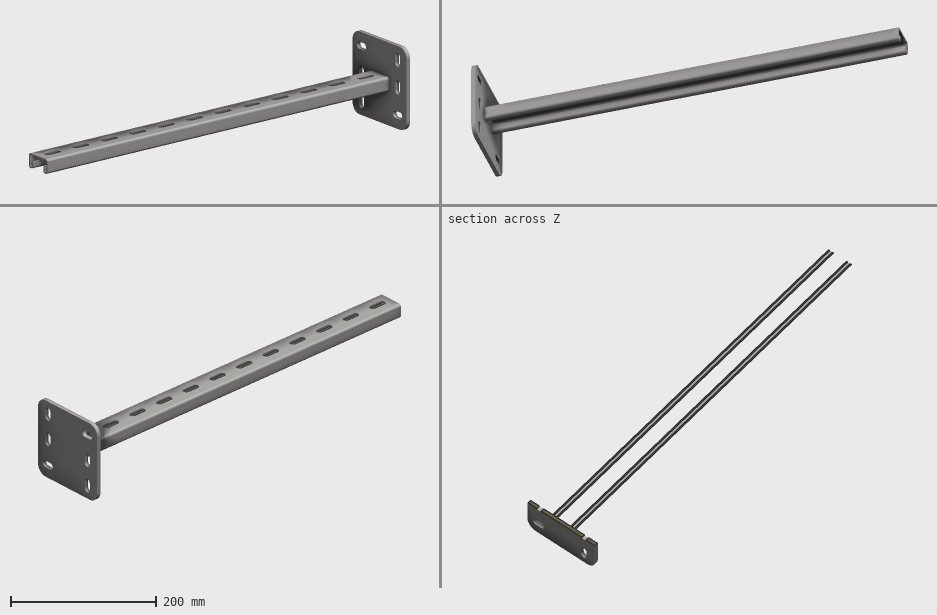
import cadquery as cq

total_length = 606.0

plate_size = 120.0
plate_thickness = 6.0
plate_corner_radius = 15.0
plate_slot_length = 20.0
plate_slot_width = 10.0
plate_slot_offset = 40.0

channel_width = 41.0
channel_height = 21.0
channel_drop = 0.5
sheet_thickness = 2.5
outer_bend_radius = 3.5
opening_width = 22.5
lip_height = 10.0

channel_slot_count = 12
channel_slot_length = 27.0
channel_slot_width = 10.0

channel_length = total_length - plate_thickness
channel_slot_pitch = channel_length / channel_slot_count
free_end = -total_length / 2
plate_front = free_end + channel_length
channel_top = channel_height / 2 - channel_drop
channel_bottom = channel_top - channel_height
lip_width = (channel_width - opening_width) / 2
inner_bend_radius = outer_bend_radius - sheet_thickness


def box_between(x_range, z_range):
    """Box over the channel length, spanning the given (low, high) pairs in X and Z."""
    width = x_range[1] - x_range[0]
    height = z_range[1] - z_range[0]
    corner = (x_range[0], free_end, z_range[0])
    return cq.Workplane("XY").box(width, channel_length, height, centered=False).translate(corner)


def bent_tube(x_range, z_range):
    """Closed tube of bent sheet with rounded corners, given its outer X and Z spans."""
    outside = box_between(x_range, z_range).edges("|Y").fillet(outer_bend_radius)
    inside = box_between(
        (x_range[0] + sheet_thickness, x_range[1] - sheet_thickness),
        (z_range[0] + sheet_thickness, z_range[1] - sheet_thickness),
    )
    return outside.cut(inside.edges("|Y").fillet(inner_bend_radius))


def make_plate():
    """Square plate with rounded corners and six slots, two of them lying flat."""
    plate = (
        cq.Workplane("XY")
        .box(plate_size, plate_thickness, plate_size)
        .edges("|Y")
        .fillet(plate_corner_radius)
    )
    slot_centres = [(side, row) for side in (-1, 1) for row in (-1, 0, 1)]
    for side, row in slot_centres:
        angle = 0 if side * row == -1 else 90
        slot = (
            cq.Workplane("XZ")
            .center(side * plate_slot_offset, row * plate_slot_offset)
            .slot2D(plate_slot_length, plate_slot_width, angle)
            .extrude(plate_thickness, both=True)
        )
        plate = plate.cut(slot)
    return plate.translate((0, plate_front + plate_thickness / 2, 0))


def make_channel():
    """Channel open at the bottom, its edges turned inwards and then upwards as lips."""
    half_width = channel_width / 2
    full_x = (-half_width, half_width)
    full_z = (channel_bottom, channel_top)

    below_walls = box_between(full_x, (channel_bottom, channel_bottom + outer_bend_radius))
    channel = bent_tube(full_x, full_z).cut(below_walls)

    above_lips = box_between(full_x, (channel_bottom + lip_height, channel_top))
    for fold_x in ((-half_width, lip_width - half_width), (half_width - lip_width, half_width)):
        channel = channel.union(bent_tube(fold_x, full_z).cut(above_lips))
    return channel


def cut_channel_slots(channel):
    """Row of lengthwise slots through the web, half a pitch in from the free end."""
    first_slot = free_end + channel_slot_pitch / 2
    centres = [(0, first_slot + i * channel_slot_pitch) for i in range(channel_slot_count)]
    slots = (
        cq.Workplane("XY")
        .pushPoints(centres)
        .slot2D(channel_slot_length, channel_slot_width, 90)
        .extrude(channel_top)
    )
    return channel.cut(slots)


result = make_plate().union(cut_channel_slots(make_channel()))